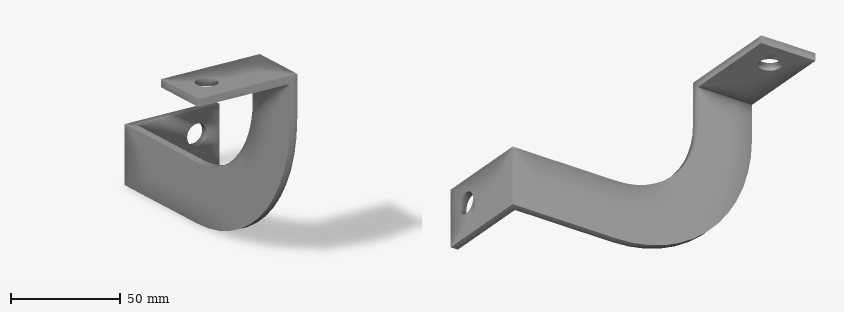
import cadquery as cq

length = 133.0
height = 97.0
thickness = 4.0
width = 30.0
inner_radius = 45.0
side_flange_length = 50.0
top_flange_length = 55.0
hole_diameter = 11.0
side_hole_inset = 12.5
top_hole_inset = 15.0

outer_radius = inner_radius + width
bend_x = length - outer_radius
bend_z = outer_radius
top_inner_x = length - width


def curved_strip():
    """Flat strip in the XZ plane, turning a quarter circle from +X to +Z."""
    outline = (
        cq.Workplane("XZ")
        .lineTo(bend_x, 0)
        .radiusArc((length, bend_z), -outer_radius)
        .lineTo(length, height)
        .lineTo(top_inner_x, height)
        .lineTo(top_inner_x, bend_z)
        .radiusArc((bend_x, width), inner_radius)
        .lineTo(0, width)
        .close()
    )
    return outline.extrude(-thickness)


def side_flange():
    """Upright plate at the low end, reaching toward +Y, with a bolt hole."""
    plate = cq.Workplane("XY").box(thickness, side_flange_length, width, centered=False)
    hole = (
        cq.Workplane("YZ")
        .center(side_flange_length - side_hole_inset, width - side_hole_inset)
        .circle(hole_diameter / 2)
        .extrude(thickness)
    )
    return plate.cut(hole)


def top_flange():
    """Level plate at the high end, reaching toward -Y, with a bolt hole."""
    free_end_y = thickness - top_flange_length
    underside_z = height - thickness
    plate = (
        cq.Workplane("XY")
        .box(width, top_flange_length, thickness, centered=False)
        .translate((top_inner_x, free_end_y, underside_z))
    )
    hole = (
        cq.Workplane("XY", origin=(0, 0, underside_z))
        .center(top_inner_x + width / 2, free_end_y + top_hole_inset)
        .circle(hole_diameter / 2)
        .extrude(thickness)
    )
    return plate.cut(hole)


result = curved_strip().union(side_flange()).union(top_flange())